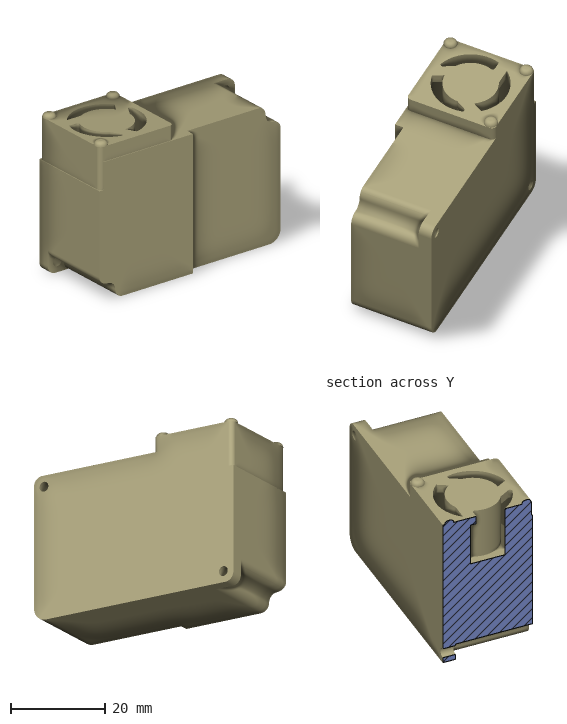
import cadquery as cq
import math

length = 50.0
case_height = 32.5
flange_thickness = 3.0
body_depth = 19.0
deep_body_depth = 21.0
deep_body_length = 25.0
foot_corner_radius = 3.0

hole_diameter = 2.2
hole_inset = 2.5
hole_corner_radius = 2.0
relief_radius = 2.0
lip_tip_radius = 1.53
lip_heel_radius = 2.6
lip_seam_angle = math.radians(50)

fan_setback = 0.2
fan_width = 21.0
fan_length = 20.0
fan_base = 26.0
fan_top = 36.0
fan_corner_radius = 1.0
fan_center_x = fan_width / 2
fan_center_y = fan_length / 2

duct_diameter = 17.0
hub_diameter = 12.0
cover_thickness = 2.0
duct_floor = 24.0
spoke_near_side = 2.7
spoke_far_side = 5.3
spoke_angles = (0, 120, 240)
slot_tip_radius = 0.5

screw_offset_x = 9.0
screw_offset_y = 8.5
screw_head_diameter = 3.0
screw_head_height = 1.0
screw_flat_diameter = 1.0
screw_sides = ((-1, -1), (1, -1), (-1, 1))


def box(x0, x1, y0, y1, z0, z1):
    return cq.Workplane("XY").box(x1 - x0, y1 - y0, z1 - z0, centered=False).translate((x0, y0, z0))


def make_case():
    case = box(0, body_depth, 0, length, 0, case_height)
    case = case.union(box(0, deep_body_depth, 0, deep_body_length, 0, case_height))
    case = case.edges("|X and <Y and <Z").fillet(hole_corner_radius)
    case = case.edges("|X and >Y and >Z").fillet(hole_corner_radius)
    return case.edges("|X and >Y and <Z").fillet(foot_corner_radius)


def relief_outline(plane):
    """Relief section on a plane whose origin is the case corner, with both axes along the case faces.

    From the second axis it runs over a lip of two radii, round a concave bend and over a plain lip.
    """
    bend_top = hole_corner_radius + relief_radius
    seam_sine = math.sin(lip_seam_angle)
    seam_cosine = math.cos(lip_seam_angle)
    seam = (lip_tip_radius * (1 - seam_cosine), bend_top + lip_heel_radius * (1 - seam_sine))
    lip_start = (0, seam[1] + lip_tip_radius * seam_sine)
    bend_start = (seam[0] + lip_heel_radius * seam_cosine, bend_top)
    bend_end = (bend_start[0] + relief_radius, hole_corner_radius)
    lip_end = (bend_end[0] + hole_corner_radius, 0)
    half_sine = math.sin(lip_seam_angle / 2)
    half_cosine = math.cos(lip_seam_angle / 2)
    tip_middle = (lip_tip_radius * (1 - half_cosine), lip_start[1] - lip_tip_radius * half_sine)
    return (
        cq.Workplane(plane)
        .lineTo(*lip_start)
        .threePointArc(tip_middle, seam)
        .tangentArcPoint(bend_start, relative=False)
        .tangentArcPoint(bend_end, relative=False)
        .tangentArcPoint(lip_end, relative=False)
        .close()
    )


def cut_hole_corners(case):
    front_plane = cq.Plane((0, 0, 0), xDir=(0, 1, 0), normal=(1, 0, 0))
    back_plane = cq.Plane((0, length, case_height), xDir=(0, 0, -1), normal=(-1, 0, 0))
    for plane, inward in ((front_plane, 1), (back_plane, -1)):
        relief = relief_outline(plane).extrude(inward * deep_body_depth)
        relief = relief.translate((flange_thickness, 0, 0))
        hole = cq.Workplane(plane).center(hole_inset, hole_inset).circle(hole_diameter / 2)
        case = case.cut(relief).cut(hole.extrude(inward * deep_body_depth))
    return case


def make_fan_block():
    block = box(0, fan_width - fan_setback, fan_setback, fan_length, fan_base, fan_top)
    return block.edges("|Z").fillet(fan_corner_radius)


def make_duct():
    return (
        cq.Workplane("XY", origin=(fan_center_x, fan_center_y, duct_floor))
        .circle(duct_diameter / 2)
        .circle(hub_diameter / 2)
        .extrude(fan_top - cover_thickness - duct_floor)
    )


def make_slots():
    ring = (
        cq.Workplane("XY")
        .circle(duct_diameter / 2)
        .circle(hub_diameter / 2)
        .extrude(cover_thickness)
    )
    spoke = box(-spoke_far_side, -spoke_near_side, -duct_diameter, 0, 0, cover_thickness)
    for angle in spoke_angles:
        ring = ring.cut(spoke.rotate((0, 0, 0), (0, 0, 1), angle))
    rounded_tips = (
        (spoke_far_side, duct_diameter / 2, 120),
        (spoke_far_side, duct_diameter / 2, 240),
        (spoke_near_side, hub_diameter / 2, 0),
    )
    for side, radius, angle in rounded_tips:
        direction = math.radians(angle + 180) + math.acos(side / radius)
        tip = (radius * math.cos(direction), radius * math.sin(direction), cover_thickness / 2)
        ring = ring.edges(cq.selectors.NearestToPointSelector(tip)).fillet(slot_tip_radius)
    return ring.translate((fan_center_x, fan_center_y, fan_top - cover_thickness))


def make_screw_head(x_side, y_side):
    rim = screw_head_diameter / 2
    flat = screw_flat_diameter / 2
    diagonal = math.sqrt(0.5)
    dome_middle = (flat + (rim - flat) * diagonal, screw_head_height * diagonal)
    head = (
        cq.Workplane("XZ")
        .lineTo(rim, 0)
        .threePointArc(dome_middle, (flat, screw_head_height))
        .lineTo(0, screw_head_height)
        .close()
        .revolve(360, (0, 0, 0), (0, 1, 0))
    )
    screw_x = fan_center_x + x_side * screw_offset_x
    screw_y = fan_center_y + y_side * screw_offset_y
    return head.translate((screw_x, screw_y, fan_top))


def make_fan_seat():
    """Space cleared in the case around the front corners of the fan."""
    return box(0, deep_body_depth, 0, fan_setback + fan_corner_radius, fan_base, case_height)


case = cut_hole_corners(make_case())
result = case.cut(make_fan_seat()).union(make_fan_block())
result = result.cut(make_duct()).cut(make_slots())
for x_side, y_side in screw_sides:
    result = result.union(make_screw_head(x_side, y_side))